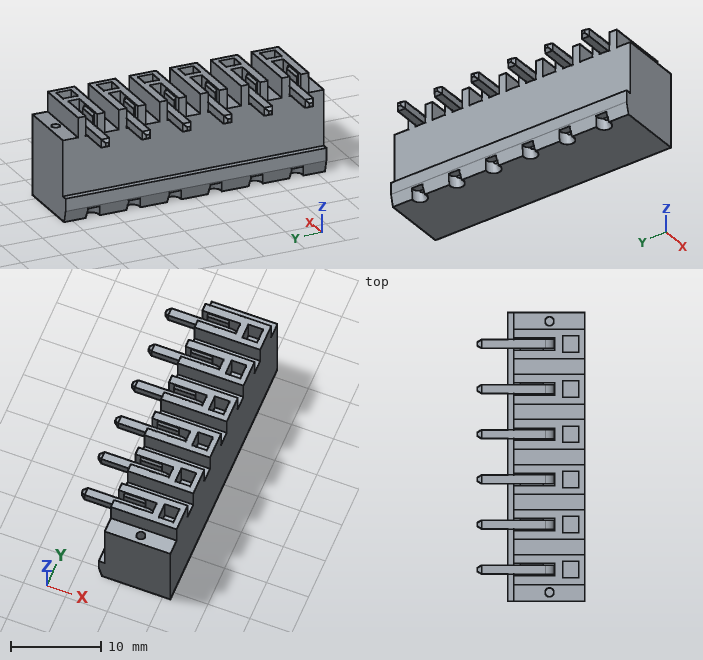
import cadquery as cq
import math

LENGTH = 32.0
HEIGHT = 12.2
BODY_DEPTH = 7.85
BASE_HEIGHT = 9.8
CONTACTS = 6

LIP_REACH = 0.7
LIP_TOP = 3.0
LIP_TAPER_HEIGHT = 1.5
LIP_TAPER_REACH = 0.4
FOOT_X = LIP_TAPER_REACH - LIP_REACH

TOWER_WIDTH = 3.3
END_MARGIN = 1.85
PITCH = (LENGTH - 2 * END_MARGIN - TOWER_WIDTH) / (CONTACTS - 1)

POCKET_X = 1.75
POCKET_Y = 1.82
POCKET_WALL = 0.67

SLOT_WIDTH = 1.38
SLOT_LENGTH = 4.55
RIB_START = 0.67
RIB_END = 3.23
RIB_DROP = 0.2
RIB_SLOPE = 0.4

PIN_SIZE = 1.0
PIN_REACH = 4.05
PIN_BEND_X = 4.45
TIP_LENGTH = 0.48
TIP_SIZE = 0.4

END_HOLE_DIAMETER = 1.0
END_HOLE_DEPTH = 2.0
END_HOLE_X = 3.95
END_HOLE_MARGIN = 1.0

RECESS_HEIGHT = 1.25
RECESS_RADIUS = 0.9
RECESS_TOP_RADIUS = 0.75
RECESS_X = -0.05
RECESS_TOP_X = -0.4
FACET_DROP = 0.25
FACET_RUN = 0.15


def box(x_start, x_end, y_center, y_width, z_start, z_end):
    """Axis-aligned block, centred on y_center."""
    size = (x_end - x_start, y_width, z_end - z_start)
    corner = (x_start, y_center - y_width / 2, z_start)
    return cq.Workplane("XY").box(*size, centered=False).translate(corner)


def prism(profile, y_center, width):
    """Sweep a closed XZ profile along Y, centred on y_center."""
    return profile.close().extrude(width / 2, both=True).translate((0, y_center, 0))


def make_base():
    profile = cq.Workplane("XZ").polyline([
        (FOOT_X, 0),
        (BODY_DEPTH, 0),
        (BODY_DEPTH, BASE_HEIGHT),
        (0, BASE_HEIGHT),
        (0, LIP_TOP),
        (-LIP_REACH, LIP_TOP),
        (-LIP_REACH, LIP_TAPER_HEIGHT),
    ])
    return prism(profile, 0, LENGTH)


def make_ribs(y_center):
    """Guide ribs that narrow the slot to the pin width, with sloped upper edges."""
    outer = SLOT_WIDTH / 2
    inner = PIN_SIZE / 2
    rib_top = HEIGHT - RIB_DROP
    rib = (
        cq.Workplane("YZ")
        .polyline([
            (inner, BASE_HEIGHT),
            (outer, BASE_HEIGHT),
            (outer, rib_top),
            (inner, rib_top - RIB_SLOPE),
        ])
        .close()
        .extrude(RIB_END - RIB_START)
        .translate((RIB_START, 0, 0))
    )
    return rib.union(rib.mirror("XZ")).translate((0, y_center, 0))


def make_tower(y_center):
    pocket_end = BODY_DEPTH - POCKET_WALL
    tower = box(0, BODY_DEPTH, y_center, TOWER_WIDTH, BASE_HEIGHT, HEIGHT)
    slot = box(0, SLOT_LENGTH, y_center, SLOT_WIDTH, BASE_HEIGHT, HEIGHT)
    pocket = box(pocket_end - POCKET_X, pocket_end, y_center, POCKET_Y, BASE_HEIGHT, HEIGHT)
    return tower.cut(slot).cut(pocket).union(make_ribs(y_center))


def make_pin(y_center):
    """Square pin lying on the base, bent down at the back and pointed at the front."""
    pin_top = BASE_HEIGHT + PIN_SIZE
    shoulder_x = TIP_LENGTH - PIN_REACH
    bend_start = PIN_BEND_X - PIN_SIZE
    diagonal = PIN_SIZE * math.sqrt(0.5)
    profile = (
        cq.Workplane("XZ")
        .moveTo(shoulder_x, BASE_HEIGHT)
        .lineTo(PIN_BEND_X, BASE_HEIGHT)
        .threePointArc((bend_start + diagonal, BASE_HEIGHT + diagonal), (bend_start, pin_top))
        .lineTo(shoulder_x, pin_top)
    )
    tip = (
        cq.Workplane("YZ", origin=(shoulder_x, y_center, BASE_HEIGHT + PIN_SIZE / 2))
        .rect(PIN_SIZE, PIN_SIZE)
        .workplane(offset=-TIP_LENGTH)
        .rect(TIP_SIZE, TIP_SIZE)
        .loft()
    )
    return prism(profile, y_center, PIN_SIZE).union(tip)


def make_recess(y_center):
    """Cutter: leaning cone, with a sloped facet where its back wall meets the ceiling."""
    cone = (
        cq.Workplane("XY", origin=(RECESS_X, y_center, 0))
        .circle(RECESS_RADIUS)
        .workplane(offset=RECESS_HEIGHT)
        .center(RECESS_TOP_X - RECESS_X, 0)
        .circle(RECESS_TOP_RADIUS)
        .loft()
    )
    back_x = RECESS_X + RECESS_RADIUS
    top_back_x = RECESS_TOP_X + RECESS_TOP_RADIUS
    facet_x = top_back_x + FACET_DROP * (back_x - top_back_x) / RECESS_HEIGHT
    facet = cq.Workplane("XZ").polyline([
        (facet_x, RECESS_HEIGHT - FACET_DROP),
        (facet_x, RECESS_HEIGHT),
        (facet_x - FACET_RUN, RECESS_HEIGHT),
    ])
    return cone.cut(prism(facet, y_center, 2 * RECESS_RADIUS))


def make_end_holes():
    hole_y = LENGTH / 2 - END_HOLE_MARGIN
    return (
        cq.Workplane("XY", origin=(0, 0, BASE_HEIGHT))
        .pushPoints([(END_HOLE_X, -hole_y), (END_HOLE_X, hole_y)])
        .circle(END_HOLE_DIAMETER / 2)
        .extrude(-END_HOLE_DEPTH)
    )


result = make_base().cut(make_end_holes())
for index in range(CONTACTS):
    contact_y = (index - (CONTACTS - 1) / 2) * PITCH
    result = result.union(make_tower(contact_y))
    result = result.union(make_pin(contact_y))
    result = result.cut(make_recess(contact_y))